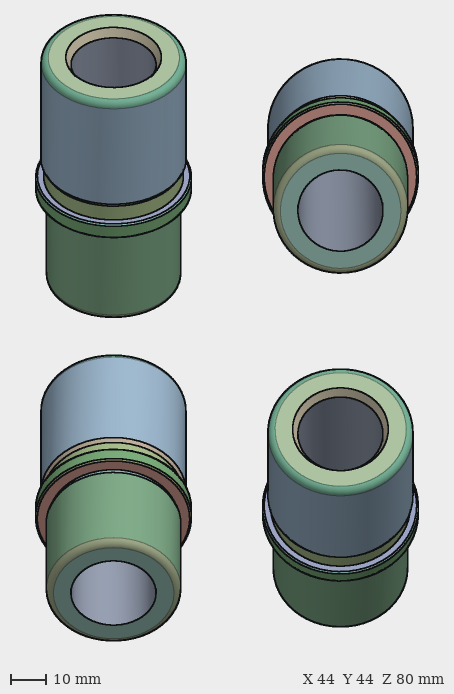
import cadquery as cq
import math

total_height = 80.0
flange_bottom = 32.0
flange_top = 37.0
upper_body_bottom = 42.0

upper_body_radius = 20.5
neck_radius = 19.75
flange_radius = 22.0
lower_body_radius = 19.0
bore_radius = 12.0

end_round = 2.0
flange_chamfer = 0.5
bore_mouth_radius = 13.5
taper_angle = 30.0
relief_height = 2.0
relief_depth = 0.7
relief_radius = (relief_height**2 + relief_depth**2) / (2 * relief_depth)


def taper_length(radius_change):
    """Length along the axis over which a taper changes the radius by the given amount."""
    return radius_change / math.tan(math.radians(taper_angle))


def make_outer_body():
    """Revolve the stepped outside profile into a solid body."""
    taper_height = taper_length(upper_body_radius - neck_radius)
    relief_bottom = flange_bottom - relief_height
    relief_inner_radius = lower_body_radius - relief_depth

    arc_half_angle = math.asin(relief_height / relief_radius) / 2
    relief_arc_middle = (
        relief_inner_radius + relief_radius * (1 - math.cos(arc_half_angle)),
        flange_bottom - relief_radius * math.sin(arc_half_angle),
    )

    round_inset = end_round * (1 - math.sqrt(0.5))

    profile = (
        cq.Workplane("XZ")
        .moveTo(0, 0)
        .lineTo(lower_body_radius - end_round, 0)
        .threePointArc(
            (lower_body_radius - round_inset, round_inset),
            (lower_body_radius, end_round),
        )
        .lineTo(lower_body_radius, relief_bottom)
        .threePointArc(relief_arc_middle, (relief_inner_radius, flange_bottom))
        .lineTo(flange_radius - flange_chamfer, flange_bottom)
        .lineTo(flange_radius, flange_bottom + flange_chamfer)
        .lineTo(flange_radius, flange_top - flange_chamfer)
        .lineTo(flange_radius - flange_chamfer, flange_top)
        .lineTo(neck_radius, flange_top)
        .lineTo(neck_radius, upper_body_bottom)
        .lineTo(upper_body_radius, upper_body_bottom + taper_height)
        .lineTo(upper_body_radius, total_height - end_round)
        .threePointArc(
            (upper_body_radius - round_inset, total_height - round_inset),
            (upper_body_radius - end_round, total_height),
        )
        .lineTo(0, total_height)
        .close()
    )
    return profile.revolve(360, (0, 0, 0), (0, 1, 0))


def make_bore():
    """Through bore with a countersunk mouth at the top."""
    bore = cq.Workplane("XY").circle(bore_radius).extrude(total_height)
    mouth_depth = taper_length(bore_mouth_radius - bore_radius)
    mouth = cq.Workplane("XY").add(
        cq.Solid.makeCone(
            bore_radius,
            bore_mouth_radius,
            mouth_depth,
            pnt=cq.Vector(0, 0, total_height - mouth_depth),
        )
    )
    return bore.union(mouth)


result = make_outer_body().cut(make_bore())